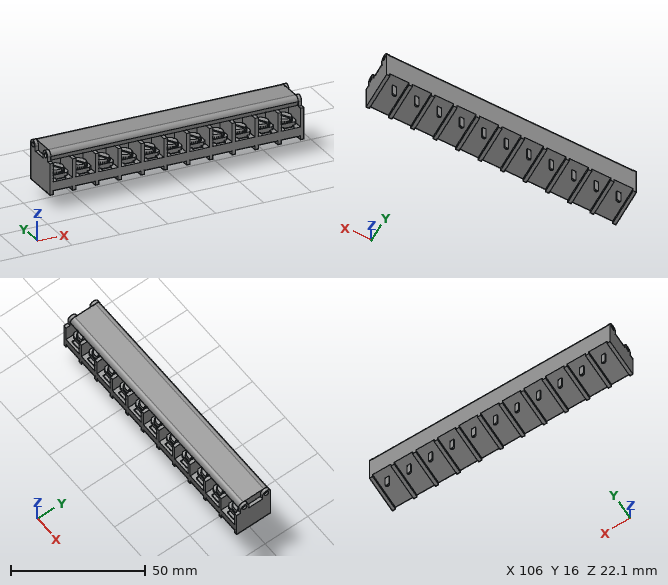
import cadquery as cq
import math


length = 106.0
ways = 11
pocket_width = 8.1
end_wall = 1.4
pitch = (length - 2 * end_wall - pocket_width) / (ways - 1)
way_centers = [(i - (ways - 1) / 2) * pitch for i in range(ways)]

depth = 16.0
housing_height = 13.0
foot_height = 1.6
pocket_floor = 5.3
pocket_depth = 10.2

top_height = 16.9
cover_height = top_height - housing_height
cover_front = 1.9
ear_radius = cover_height / 2
ear_center_z = top_height - ear_radius
ear_centers_y = [cover_front + ear_radius, depth - ear_radius]
ear_hole_diameter = 1.9
cover_corner_radius = 2.2
front_slope_angle = 22.0

plate_thickness = 1.3
plate_front = 2.6
plate_chamfer = 1.1
plate_top = pocket_floor + plate_thickness
recess_width = 3.9
recess_front = 1.3
recess_depth = 0.5

screw_diameter = 6.9
screw_head_height = 1.6
screw_top_inset = 0.4
screw_setback = 0.1
screw_y = plate_front + screw_setback + screw_diameter / 2
knurl_count = 30
knurl_height = 0.7
knurl_width = 0.1
knurl_depth = 0.1
slot_width = 0.8
slot_depth = 1.1
slot_angle = -60.0

pin_width = 1.6
pin_thickness = 0.6
pin_length = 5.2
pin_center_y = 12.0
pin_tip_height = 0.6
pin_tip_width = 0.4


def block(x_size, y_start, y_end, z_start, z_end):
    """Box centered on X = 0 between the given Y and Z limits."""
    return cq.Workplane("XY").box(
        x_size, y_end - y_start, z_end - z_start, centered=(True, False, False)
    ).translate((0, y_start, z_start))


def along_row(shape):
    """Copies of one way's shape at every way, as a single compound."""
    solid = shape.val()
    copies = [solid.translate(cq.Vector(x, 0, 0)) for x in way_centers]
    return cq.Workplane(obj=cq.Compound.makeCompound(copies))


def make_ear():
    """End-wall ear with a round top and a cross hole, starting at X = 0."""
    ear = (
        cq.Workplane("YZ")
        .moveTo(-ear_radius, housing_height)
        .lineTo(-ear_radius, ear_center_z)
        .threePointArc((0, top_height), (ear_radius, ear_center_z))
        .lineTo(ear_radius, housing_height)
        .close()
        .extrude(end_wall)
    )
    hole = cq.Workplane("YZ").center(0, ear_center_z).circle(ear_hole_diameter / 2).extrude(end_wall)
    return ear.cut(hole)


def make_cover():
    """Cover with rounded upper edges and a front that slopes back below ear center height."""
    arc_center_y = cover_front + cover_corner_radius
    arc_center_z = top_height - cover_corner_radius
    arc_end_angle = math.asin((ear_center_z - arc_center_z) / cover_corner_radius)
    arc_mid_angle = (arc_end_angle + math.pi / 2) / 2

    def front_arc_point(angle):
        return (
            arc_center_y - cover_corner_radius * math.cos(angle),
            arc_center_z + cover_corner_radius * math.sin(angle),
        )

    slope_top_y, slope_top_z = front_arc_point(arc_end_angle)
    slope_run = (slope_top_z - housing_height) * math.tan(math.radians(front_slope_angle))
    back_arc = cover_corner_radius * math.sqrt(0.5)
    back_center_y = depth - cover_corner_radius
    return (
        cq.Workplane("YZ")
        .moveTo(slope_top_y + slope_run, housing_height)
        .lineTo(slope_top_y, slope_top_z)
        .threePointArc(front_arc_point(arc_mid_angle), (arc_center_y, top_height))
        .lineTo(back_center_y, top_height)
        .threePointArc(
            (back_center_y + back_arc, arc_center_z + back_arc),
            (depth, arc_center_z),
        )
        .lineTo(depth, housing_height)
        .close()
        .extrude(length / 2 - end_wall, both=True)
    )


def make_plate():
    """Terminal plate filling the pocket, with its front corners cut off."""
    plate = block(pocket_width, plate_front, pocket_depth, pocket_floor, plate_top)
    return plate.edges("|Z and <Y").chamfer(plate_chamfer)


def make_screw():
    """Slotted screw head with a crowned side and a knurl around its lower part."""
    radius = screw_diameter / 2
    side_radius = (screw_head_height**2 + screw_top_inset**2) / (2 * screw_top_inset)
    mid_height = screw_head_height / 2
    mid_inset = side_radius - math.sqrt(side_radius**2 - mid_height**2)
    head = (
        cq.Workplane("XZ")
        .lineTo(radius, 0)
        .threePointArc((radius - mid_inset, mid_height), (radius - screw_top_inset, screw_head_height))
        .lineTo(0, screw_head_height)
        .close()
        .revolve(360, (0, 0, 0), (0, 1, 0))
    )
    knurl = (
        cq.Workplane("XY")
        .polarArray(radius, 0, 360, knurl_count)
        .rect(2 * knurl_depth, knurl_width)
        .extrude(knurl_height)
    )
    slot = (
        cq.Workplane("XY")
        .workplane(offset=screw_head_height - slot_depth)
        .rect(screw_diameter, slot_width)
        .extrude(slot_depth)
        .rotate((0, 0, 0), (0, 0, 1), slot_angle)
    )
    return head.cut(knurl).cut(slot).translate((0, screw_y, plate_top))


def make_pin():
    """Flat solder pin below the housing, tapered at its tip."""
    shoulder_z = pin_tip_height - pin_length
    return (
        cq.Workplane("XZ")
        .moveTo(-pin_width / 2, foot_height)
        .lineTo(-pin_width / 2, shoulder_z)
        .lineTo(-pin_tip_width / 2, -pin_length)
        .lineTo(pin_tip_width / 2, -pin_length)
        .lineTo(pin_width / 2, shoulder_z)
        .lineTo(pin_width / 2, foot_height)
        .close()
        .extrude(pin_thickness / 2, both=True)
        .translate((0, pin_center_y, 0))
    )


pocket = block(pocket_width, 0, pocket_depth, pocket_floor, housing_height)
recess = block(recess_width, recess_front, plate_front, pocket_floor - recess_depth, pocket_floor)
foot_gap = block(pocket_width, 0, depth, 0, foot_height)

body = block(length, 0, depth, 0, housing_height)
body = body.cut(along_row(pocket.union(recess))).cut(along_row(foot_gap))

body = body.union(make_cover())
for ear_y in ear_centers_y:
    for ear_x in (-length / 2, length / 2 - end_wall):
        body = body.union(make_ear().translate((ear_x, ear_y, 0)))

terminal = make_plate().union(make_screw())
result = body.union(along_row(terminal)).union(along_row(make_pin()))